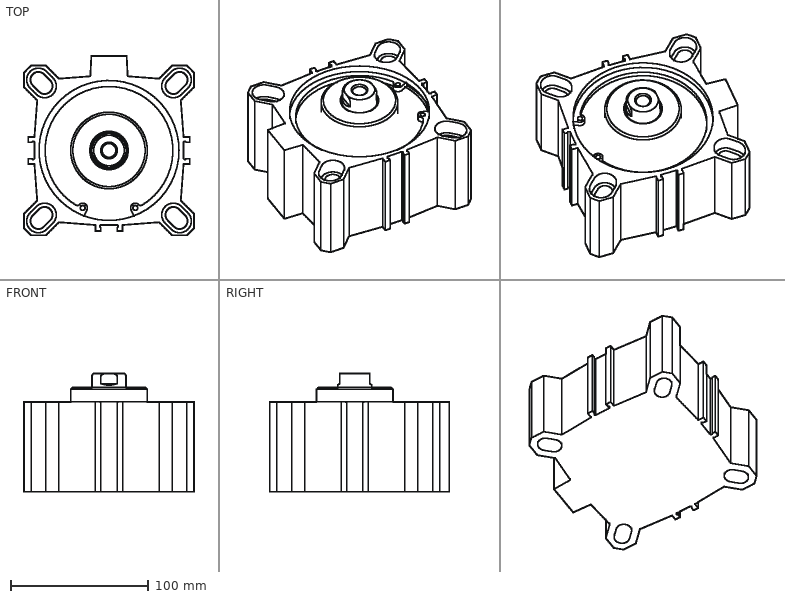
import cadquery as cq
import math

TOTAL_HEIGHT = 86.5
HOUSING_HEIGHT = 65.8
TOTAL_DEPTH = 131.0
LUG_SPAN = 124.0
LUG_HALF_SPAN = LUG_SPAN / 2
LUG_CHAMFER = 5.2
LUG_FACE_END = 46.1
NECK_DEPTH = 9.5
WALL_CENTER = 54.5
WALL_OVERLAP = 1.3
PORT_END = TOTAL_DEPTH - LUG_HALF_SPAN
PORT_TIP_HALF_WIDTH = 13.0
PORT_ROOT_HALF_WIDTH = 13.8

RIB_OUTER = 10.0
RIB_INNER = 5.9
RIB_TIP = 59.0
RIB_GROOVE_WIDTH = 1.8
RIB_GROOVE_DEPTH = 0.7

SLOT_CENTER = 49.3
SLOT_TRAVEL = 6.4
SLOT_DIAMETER = 11.4
SLOT_COUNTERBORE = 17.0
SLOT_COUNTERBORE_DEPTH = 11.1

BORE_DIAMETER = 102.2
RING_GROOVE_DIAMETER = 106.2
RING_DEPTH = 5.4
RING_THICKNESS = 4.0
RING_INNER_RADIUS = 46.6
RING_EYE_REACH = 46.1
RING_EYE_ANGLE = 24.6
RING_EYE_RADIUS = 3.4
RING_EYE_HOLE = 3.5
RING_EYE_FILLET = 2.0

RING_TOP = HOUSING_HEIGHT - RING_DEPTH
COVER_FACE = RING_TOP - RING_THICKNESS
COVER_THICKNESS = 15.7
COVER_BOTTOM = COVER_FACE - COVER_THICKNESS
CONE_RADIUS = 41.0
CONE_TOP = 64.0
CONE_FILLET = 0.7
COLLAR_DIAMETER = 56.0
COLLAR_TOP = 76.4
COLLAR_CHAMFER = 1.6
MOUTH_DIAMETER = 28.0
SEAL_DIAMETER = 26.9
SEAL_DEPTH = 2.0
ROD_OPENING_DIAMETER = 25.5

ROD_DIAMETER = 25.0
ROD_ROUND_HEIGHT = 2.1
ROD_FACE_RADIUS = 11.1
FLAT_OFFSET = 11.0
FLAT_HEIGHT = 7.3
FLAT_RUNOUT = 1.2
ROD_HOLE_DIAMETER = 10.1
ROD_HOLE_MOUTH = 12.0
ROD_HOLE_CHAMFER = 1.3
ROD_HOLE_DEPTH = 19.6
DRILL_TIP_ANGLE = 118.0


def cylinder(diameter, bottom, top):
    return cq.Workplane("XY").workplane(offset=bottom).circle(diameter / 2).extrude(top - bottom)


def housing_outline():
    tip = LUG_HALF_SPAN - LUG_CHAMFER
    neck = LUG_HALF_SPAN - NECK_DEPTH
    neck_end = LUG_FACE_END - NECK_DEPTH
    mid_tip = math.hypot(LUG_HALF_SPAN, tip) * math.sqrt(0.5)
    outline = cq.Workplane("XY").moveTo(WALL_CENTER, -RIB_OUTER)
    for quarter in range(4):
        angle = math.radians(90 * quarter)

        def turned(x, y):
            return (
                x * math.cos(angle) - y * math.sin(angle),
                x * math.sin(angle) + y * math.cos(angle),
            )

        outline = outline.lineTo(*turned(WALL_CENTER, RIB_OUTER))
        outline = outline.lineTo(*turned(neck, neck_end))
        outline = outline.lineTo(*turned(LUG_HALF_SPAN, LUG_FACE_END))
        outline = outline.lineTo(*turned(LUG_HALF_SPAN, tip))
        outline = outline.threePointArc(turned(mid_tip, mid_tip), turned(tip, LUG_HALF_SPAN))
        outline = outline.lineTo(*turned(LUG_FACE_END, LUG_HALF_SPAN))
        outline = outline.lineTo(*turned(neck_end, neck))
        if quarter < 3:
            outline = outline.lineTo(*turned(RIB_OUTER, WALL_CENTER))
    return outline.close()


def rib_pair():
    """Two ribs on the +X wall, each with a rounded groove along the root of its inner flank."""
    root = WALL_CENTER - WALL_OVERLAP
    groove_middle = (WALL_CENTER + RIB_GROOVE_WIDTH / 2, RIB_INNER + RIB_GROOVE_DEPTH)
    rib = (
        cq.Workplane("XY")
        .moveTo(root, RIB_OUTER)
        .lineTo(RIB_TIP, RIB_OUTER)
        .lineTo(RIB_TIP, RIB_INNER)
        .lineTo(WALL_CENTER + RIB_GROOVE_WIDTH, RIB_INNER)
        .threePointArc(groove_middle, (WALL_CENTER, RIB_INNER))
        .lineTo(root, RIB_INNER)
        .close()
        .extrude(HOUSING_HEIGHT)
    )
    return rib.union(rib.mirror("XZ"))


def port_block():
    root = WALL_CENTER - WALL_OVERLAP
    return (
        cq.Workplane("XY")
        .polyline(
            [
                (-PORT_ROOT_HALF_WIDTH, root),
                (PORT_ROOT_HALF_WIDTH, root),
                (PORT_TIP_HALF_WIDTH, PORT_END),
                (-PORT_TIP_HALF_WIDTH, PORT_END),
            ]
        )
        .close()
        .extrude(HOUSING_HEIGHT)
    )


def mounting_slot(angle):
    """Counterbored slot along one diagonal."""
    reach = SLOT_CENTER * math.sqrt(2)

    def slot(diameter, bottom):
        return (
            cq.Workplane("XY")
            .workplane(offset=bottom)
            .center(reach, 0)
            .slot2D(SLOT_TRAVEL + diameter, diameter)
            .extrude(HOUSING_HEIGHT - bottom)
        )

    cut = slot(SLOT_DIAMETER, 0).union(
        slot(SLOT_COUNTERBORE, HOUSING_HEIGHT - SLOT_COUNTERBORE_DEPTH)
    )
    return cut.rotate((0, 0, 0), (0, 0, 1), angle)


def make_housing():
    housing = housing_outline().extrude(HOUSING_HEIGHT).union(port_block())
    for angle in (0, 180, 270):
        housing = housing.union(rib_pair().rotate((0, 0, 0), (0, 0, 1), angle))
    for angle in (45, 135, 225, 315):
        housing = housing.cut(mounting_slot(angle))
    housing = housing.cut(cylinder(BORE_DIAMETER, COVER_BOTTOM, HOUSING_HEIGHT))
    return housing.cut(cylinder(RING_GROOVE_DIAMETER, COVER_FACE, RING_TOP))


def make_cover():
    collar_radius = COLLAR_DIAMETER / 2
    cover = (
        cq.Workplane("XZ")
        .polyline(
            [
                (0, COVER_BOTTOM),
                (BORE_DIAMETER / 2, COVER_BOTTOM),
                (BORE_DIAMETER / 2, COVER_FACE),
                (CONE_RADIUS, COVER_FACE),
                (collar_radius, CONE_TOP),
                (collar_radius, COLLAR_TOP - COLLAR_CHAMFER),
                (collar_radius - COLLAR_CHAMFER, COLLAR_TOP),
                (0, COLLAR_TOP),
            ]
        )
        .close()
        .revolve(360, (0, 0, 0), (0, 1, 0))
    )
    for height in (COVER_FACE, CONE_TOP):
        level = cq.selectors.BoxSelector((-1.3, -1.3, height - 0.1), (1.3, 1.3, height + 0.1))
        cover = cover.edges(level).edges(cq.selectors.RadiusNthSelector(0)).fillet(CONE_FILLET)
    cover = cover.cut(cylinder(SEAL_DIAMETER, COLLAR_TOP - SEAL_DEPTH, COLLAR_TOP))
    cover = cover.faces(">Z").edges("%CIRCLE").edges(cq.selectors.RadiusNthSelector(0)).chamfer(
        (MOUTH_DIAMETER - SEAL_DIAMETER) / 2
    )
    return cover.cut(cylinder(ROD_OPENING_DIAMETER, COVER_BOTTOM, COLLAR_TOP))


def ring_eye():
    """Plier eye on +X: a rounded inner end whose straight flanks run out to the ring's rim."""
    flank_length = RING_GROOVE_DIAMETER / 2 - RING_EYE_REACH
    head = cq.Workplane("XY").center(RING_EYE_REACH, 0).circle(RING_EYE_RADIUS).extrude(RING_THICKNESS)
    flanks = (
        cq.Workplane("XY")
        .center(RING_EYE_REACH + flank_length / 2, 0)
        .rect(flank_length, 2 * RING_EYE_RADIUS)
        .extrude(RING_THICKNESS)
    )
    return head.union(flanks).intersect(cylinder(RING_GROOVE_DIAMETER, 0, RING_THICKNESS))


def make_ring():
    rim = RING_GROOVE_DIAMETER / 2
    half_gap = math.radians(RING_EYE_ANGLE)
    gap_corner = 2 * rim * math.tan(half_gap)
    gap = (
        cq.Workplane("XY")
        .polyline([(0, 0), (-gap_corner, -2 * rim), (gap_corner, -2 * rim)])
        .close()
        .extrude(RING_THICKNESS)
    )
    ring = cylinder(RING_GROOVE_DIAMETER, 0, RING_THICKNESS)
    ring = ring.cut(cylinder(2 * RING_INNER_RADIUS, 0, RING_THICKNESS)).cut(gap)

    corner_offset = math.acos(
        (RING_EYE_REACH**2 + RING_INNER_RADIUS**2 - RING_EYE_RADIUS**2)
        / (2 * RING_EYE_REACH * RING_INNER_RADIUS)
    )
    eye_hole = cylinder(RING_EYE_HOLE, 0, RING_THICKNESS).translate((RING_EYE_REACH, 0, 0))
    for side in (1, -1):
        eye_angle = side * RING_EYE_ANGLE - 90
        corner_angle = math.radians(eye_angle) + side * corner_offset
        corner = (
            RING_INNER_RADIUS * math.cos(corner_angle),
            RING_INNER_RADIUS * math.sin(corner_angle),
            RING_THICKNESS / 2,
        )
        ring = ring.union(ring_eye().rotate((0, 0, 0), (0, 0, 1), eye_angle))
        ring = ring.edges(cq.selectors.NearestToPointSelector(corner)).fillet(RING_EYE_FILLET)
        ring = ring.cut(eye_hole.rotate((0, 0, 0), (0, 0, 1), eye_angle))
    return ring.translate((0, 0, COVER_FACE))


def make_rod():
    radius = ROD_DIAMETER / 2
    step = radius - ROD_FACE_RADIUS
    arc_radius = (step**2 + ROD_ROUND_HEIGHT**2) / (2 * step)
    round_start = TOTAL_HEIGHT - ROD_ROUND_HEIGHT
    half_angle = math.asin(ROD_ROUND_HEIGHT / arc_radius) / 2
    arc_middle = (
        radius - arc_radius * (1 - math.cos(half_angle)),
        round_start + arc_radius * math.sin(half_angle),
    )
    hole_radius = ROD_HOLE_DIAMETER / 2
    hole_end = TOTAL_HEIGHT - ROD_HOLE_DEPTH
    tip_depth = hole_radius / math.tan(math.radians(DRILL_TIP_ANGLE / 2))
    rod = (
        cq.Workplane("XZ")
        .moveTo(0, COVER_BOTTOM)
        .lineTo(radius, COVER_BOTTOM)
        .lineTo(radius, round_start)
        .threePointArc(arc_middle, (ROD_FACE_RADIUS, TOTAL_HEIGHT))
        .lineTo(ROD_HOLE_MOUTH / 2, TOTAL_HEIGHT)
        .lineTo(hole_radius, TOTAL_HEIGHT - ROD_HOLE_CHAMFER)
        .lineTo(hole_radius, hole_end)
        .lineTo(0, hole_end - tip_depth)
        .close()
        .revolve(360, (0, 0, 0), (0, 1, 0))
    )
    flat_bottom = TOTAL_HEIGHT - FLAT_HEIGHT
    flat_cut = (
        cq.Workplane("YZ")
        .polyline(
            [
                (FLAT_OFFSET, TOTAL_HEIGHT),
                (FLAT_OFFSET, flat_bottom),
                (radius, flat_bottom - FLAT_RUNOUT),
                (radius, TOTAL_HEIGHT),
            ]
        )
        .close()
        .extrude(radius, both=True)
    )
    return rod.cut(flat_cut).cut(flat_cut.mirror("XZ"))


housing = make_housing()
cover = make_cover()
ring = make_ring()
rod = make_rod()

result = cq.Compound.makeCompound([housing.val(), cover.val(), ring.val(), rod.val()])